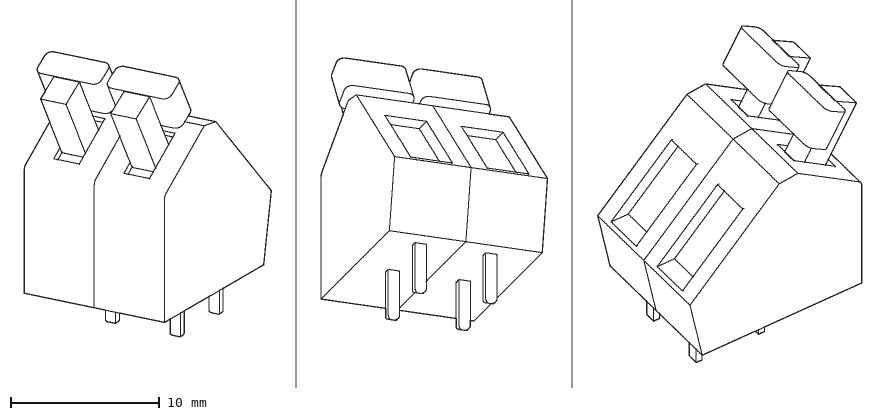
import cadquery as cq
import math


POLE_COUNT = 2
POLE_WIDTH = 5.5

BASE_DEPTH = 13.0
HOUSING_DEPTH = 14.0
BACK_CORNER_HEIGHT = 5.0
FRONT_CORNER_HEIGHT = 9.05
ENTRY_SLOPE_TOP_Y = 6.73
RIDGE_Y = 5.21
RIDGE_HEIGHT = 12.45
FRONT_EDGE_RADIUS = 0.5

ENTRY_SLOPE_TOP_HEIGHT = BACK_CORNER_HEIGHT + HOUSING_DEPTH - ENTRY_SLOPE_TOP_Y
FRONT_SLOPE_ANGLE = math.degrees(math.atan2(RIDGE_HEIGHT - FRONT_CORNER_HEIGHT, RIDGE_Y))

ENTRY_WIDTH = 3.0
ENTRY_DEPTH = 1.4
ENTRY_FLOOR_Y = 13.76
ENTRY_CEILING_Y = 8.85

SLOT_LENGTH = 4.0
SLOT_DEPTH = 0.5
SLOT_CENTER_Y = 2.64

LEVER_TILT = 30.5
LEVER_TOP_Y = 2.68
LEVER_TOP_HEIGHT = 16.61
STEM_WIDTH = 2.0
STEM_THICKNESS = 2.04
STEM_TOP_STEP = 0.06
BUTTON_WIDTH = 5.0
BUTTON_THICKNESS = 2.0
BUTTON_LENGTH = 3.0
BUTTON_RADIUS = 0.5

PIN_WIDTH = 0.82
PIN_THICKNESS = 0.5
PIN_LENGTH = 3.5
PIN_TIP_RADIUS = 0.24
PIN_PITCH = 5.08
FIRST_PIN_X = 3.15
FRONT_PIN_Y = 6.3
PIN_ROWS = 2


def front_slope_height(y):
    """Height of the front slope at depth y."""
    return FRONT_CORNER_HEIGHT + y * math.tan(math.radians(FRONT_SLOPE_ANGLE))


def entry_slope_height(y):
    """Height of the 45 degree wire entry slope at depth y."""
    return BACK_CORNER_HEIGHT + HOUSING_DEPTH - y


def prism(points, width, center_x):
    """Extrude a YZ outline along X, centred on center_x."""
    outline = cq.Workplane("YZ", origin=(center_x, 0, 0)).polyline(points).close()
    return outline.extrude(width / 2, both=True)


def make_slot(center_x):
    """Lever slot volume, open above the front slope."""
    center = (center_x, SLOT_CENTER_Y, front_slope_height(SLOT_CENTER_Y))
    slot = cq.Workplane("XY").box(STEM_WIDTH, SLOT_LENGTH, 2 * SLOT_DEPTH)
    return slot.rotate((0, 0, 0), (1, 0, 0), FRONT_SLOPE_ANGLE).translate(center)


def make_wire_entry(center_x):
    """Wire entry volume: flat floor and ceiling, end wall parallel to the slope."""
    floor_z = entry_slope_height(ENTRY_FLOOR_Y)
    ceiling_z = entry_slope_height(ENTRY_CEILING_Y)
    points = [
        (ENTRY_FLOOR_Y, floor_z),
        (ENTRY_FLOOR_Y - ENTRY_DEPTH, floor_z),
        (ENTRY_CEILING_Y - ENTRY_DEPTH, ceiling_z),
        (ENTRY_CEILING_Y, ceiling_z),
    ]
    return prism(points, ENTRY_WIDTH, center_x)


def make_housing(center_x):
    points = [
        (0, 0),
        (BASE_DEPTH, 0),
        (HOUSING_DEPTH, BACK_CORNER_HEIGHT),
        (ENTRY_SLOPE_TOP_Y, ENTRY_SLOPE_TOP_HEIGHT),
        (RIDGE_Y, RIDGE_HEIGHT),
        (0, FRONT_CORNER_HEIGHT),
    ]
    front_corner = (center_x, 0, FRONT_CORNER_HEIGHT)
    body = prism(points, POLE_WIDTH, center_x)
    body = body.edges(cq.selectors.NearestToPointSelector(front_corner)).fillet(FRONT_EDGE_RADIUS)
    return body.cut(make_wire_entry(center_x)).cut(make_slot(center_x))


def make_lever(center_x):
    """Lever modelled upright with its button's upper back edge on the X axis, then tilted."""
    button = cq.Workplane("XY").box(
        BUTTON_WIDTH, BUTTON_THICKNESS, BUTTON_LENGTH, centered=(True, False, False)
    )
    button = button.edges("|Z").fillet(BUTTON_RADIUS)
    button = button.translate((0, -BUTTON_THICKNESS, -BUTTON_LENGTH))

    stem_length = LEVER_TOP_HEIGHT
    stem = cq.Workplane("XY").box(
        STEM_WIDTH, STEM_THICKNESS, stem_length, centered=(True, False, False)
    )
    stem = stem.translate((0, -BUTTON_THICKNESS - STEM_THICKNESS, -STEM_TOP_STEP - stem_length))

    lever = button.union(stem).rotate((0, 0, 0), (1, 0, 0), LEVER_TILT)
    lever = lever.translate((center_x, LEVER_TOP_Y, LEVER_TOP_HEIGHT))

    floor_drop = SLOT_DEPTH / math.cos(math.radians(FRONT_SLOPE_ANGLE))
    below_floor = prism(
        [
            (0, 0),
            (HOUSING_DEPTH, 0),
            (HOUSING_DEPTH, front_slope_height(HOUSING_DEPTH) - floor_drop),
            (0, front_slope_height(0) - floor_drop),
        ],
        POLE_WIDTH,
        center_x,
    )
    return lever.cut(below_floor)


def make_pin(center_x, center_y):
    """Flat pin hanging from the housing underside, with a rounded tip."""
    pin = cq.Workplane("XY", origin=(center_x, center_y, 0)).rect(PIN_WIDTH, PIN_THICKNESS)
    return pin.extrude(-PIN_LENGTH).faces("<Z").edges().fillet(PIN_TIP_RADIUS)


housings = []
levers = []
pins = []
for pole in range(POLE_COUNT):
    pole_center_x = (pole + 0.5) * POLE_WIDTH
    housings.append(make_housing(pole_center_x).val())
    levers.append(make_lever(pole_center_x).val())
    for row in range(PIN_ROWS):
        pin_x = FIRST_PIN_X + pole * PIN_PITCH
        pin_y = FRONT_PIN_Y + row * PIN_PITCH
        pins.append(make_pin(pin_x, pin_y).val())

result = cq.Compound.makeCompound([*housings, *levers, *pins])